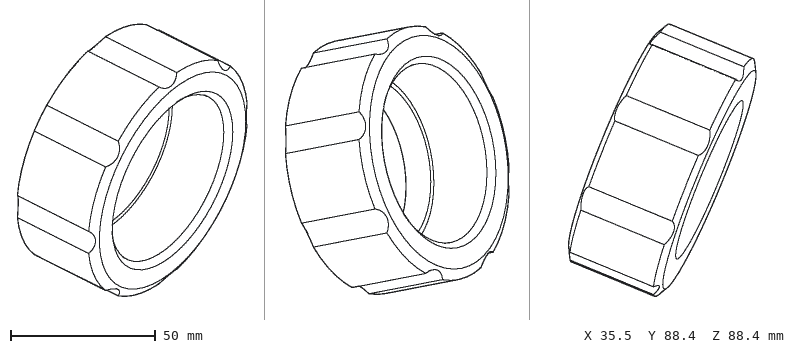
import cadquery as cq
import math

width = 35.5
flat_to_flat = 88.4
groove_width = 9.9
groove_depth = 2.1
groove_count = 8
outer_radius = math.hypot(flat_to_flat / 2, groove_width / 2)

face_radius = 40.85
chamfer_length = 2.0

bore_diameter = 59.2
counterbore_diameter = 62.8
lip_length = 10.6
bore_chamfer = 2.2

left = -width / 2
right = width / 2


def ring_body():
    """Revolve the chamfered ring, including its stepped bore, about X."""
    bore_radius = bore_diameter / 2
    counterbore_radius = counterbore_diameter / 2
    profile = (
        cq.Workplane("XY")
        .moveTo(left, bore_radius)
        .lineTo(left, face_radius)
        .lineTo(left + chamfer_length, outer_radius)
        .lineTo(right - chamfer_length, outer_radius)
        .lineTo(right, face_radius)
        .lineTo(right, counterbore_radius + bore_chamfer)
        .lineTo(right - bore_chamfer, counterbore_radius)
        .lineTo(left + lip_length, counterbore_radius)
        .lineTo(left + lip_length, bore_radius)
        .close()
    )
    return profile.revolve(360, (0, 0, 0), (1, 0, 0))


def grip_grooves():
    """Round cutters parallel to the axis, evenly spaced around the rim."""
    groove_radius = ((groove_width / 2) ** 2 + groove_depth**2) / (2 * groove_depth)
    center_distance = flat_to_flat / 2 - groove_depth + groove_radius
    return (
        cq.Workplane("YZ")
        .workplane(offset=left)
        .polarArray(center_distance, 0, 360, groove_count)
        .circle(groove_radius)
        .extrude(width)
    )


result = ring_body().cut(grip_grooves())